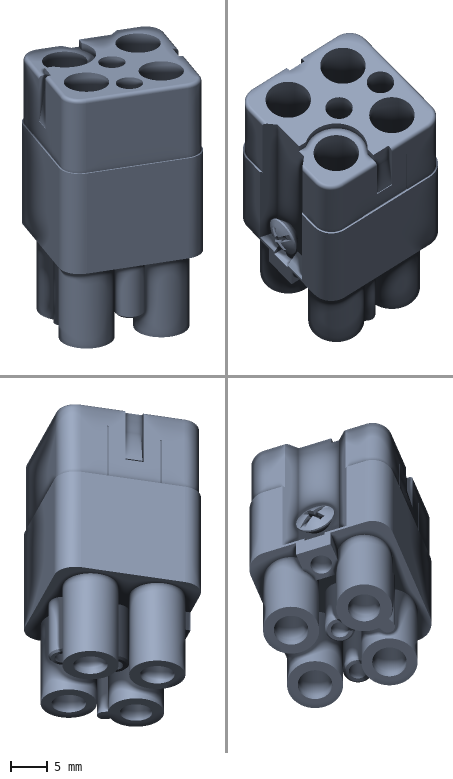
import cadquery as cq
import math


TOTAL_HEIGHT = 39.0
BODY_BOTTOM_Z = 12.5
SHOULDER_Z = 27.85
LOWER_SIZE = 21.0
SHOULDER_WIDTH = 0.24
UPPER_SIZE = LOWER_SIZE - 2 * SHOULDER_WIDTH
LOWER_CORNER_RADIUS = 3.0
UPPER_CORNER_RADIUS = LOWER_CORNER_RADIUS - SHOULDER_WIDTH
TOP_EDGE_RADIUS = 0.55
HALF_LOWER = LOWER_SIZE / 2
HALF_UPPER = UPPER_SIZE / 2
CLEARANCE = 1.0

EARTH_CONTACT = (-4.9, -5.3)
POWER_CONTACTS = [EARTH_CONTACT, (-4.9, 5.5), (4.75, 5.5), (4.75, -5.5)]
POWER_POST_RADIUS = 3.9
POWER_CAVITY_RADIUS = 3.15
POWER_BORE_RADIUS = 2.4
EARTH_BORE_RADIUS = 2.25

SIGNAL_CONTACTS = [(-0.25, 0.0), (7.05, 0.0)]
SIGNAL_POST_RADIUS = 2.1
SIGNAL_POST_BOTTOM_Z = 3.85
SIGNAL_POST_CHAMFER = 0.3
SIGNAL_CAVITY_RADIUS = 1.9
SIGNAL_BORE_RADIUS = 1.25

KEY_LENGTH = 4.5
KEY_RADIUS = 1.0
KEY_ANGLE = -26.5

EARTH_STEP_DEPTH = 1.1
EARTH_STEP_RADIUS = 4.35
EARTH_STEP_EDGE_X = -1.6
EARTH_STEP_EDGE_Y = -1.85

NOTCH_X = (EARTH_STEP_EDGE_X, 1.05)
NOTCH_DEPTH = 0.85
NOTCH_BOTTOM_Z = 31.0
RAMP_TOP_Z = 35.9
RAMP_SIDE_GAP = 0.2
RAMP_BOTTOM_GAP = 0.15
TONGUE_X = (-4.12, 3.67)
SLIT_TOP_MARGIN = 3.0
SLIT_DEPTH = 0.2
LEFT_SLIT_WIDTH = 0.08
RIGHT_SLIT_WIDTH = 0.2
END_SLIT_WIDTH = 0.1

GROOVE_DEPTH = 1.75
GROOVE_FLOOR_X = -HALF_LOWER + GROOVE_DEPTH
GROOVE_FLOOR_HALF_WIDTH = 2.97
GROOVE_FLOOR_BOTTOM_Z = 14.75

TAB_Y = (-2.4, 2.7)
TAB_END_X = -5.5
TAB_BOTTOM_Z = 9.6
RECESS_RADIUS = 1.5
RECESS_AXIS_X = -7.75

SCREW_Z = 17.73
HEAD_RADIUS = 2.8
HEAD_TIP_X = -11.13
DOME_EDGE_X = -10.25
RIM_EDGE_X = -10.0
SHANK_RADIUS = HEAD_RADIUS - (GROOVE_FLOOR_X - RIM_EDGE_X)
SHANK_EMBED = 0.5
SHANK_END_X = GROOVE_FLOOR_X + SHANK_EMBED
DRIVE_ANGLE = 45.0
SLOT_WIDTH = 0.85
SLOT_FLOOR_X = -10.35
CROSS_FLOOR_X = -9.7
CROSS_LENGTHS = (2.6, 3.6)


def box(x, y, z):
    """Axis-aligned box from its (low, high) limits."""
    size = [high - low for low, high in (x, y, z)]
    return cq.Workplane("XY").box(*size, centered=False).translate((x[0], y[0], z[0]))


def cylinder(centre, radius, bottom_z, top_z):
    """Vertical cylinder between two heights."""
    return (
        cq.Workplane("XY", origin=(centre[0], centre[1], bottom_z))
        .circle(radius)
        .extrude(top_z - bottom_z)
    )


def rounded_block(size, corner_radius, bottom_z, top_z):
    return (
        cq.Workplane("XY", origin=(0, 0, bottom_z))
        .rect(size, size)
        .extrude(top_z - bottom_z)
        .edges("|Z")
        .fillet(corner_radius)
    )


def upper_block(top_z):
    """Upper part of the body with a rounded top edge, ending at the given height."""
    block = rounded_block(UPPER_SIZE, UPPER_CORNER_RADIUS, SHOULDER_Z, top_z)
    return block.faces(">Z").edges().fillet(TOP_EDGE_RADIUS)


def stepped_body():
    """Lower and upper blocks, with the top sunk around the earth contact."""
    step_z = TOTAL_HEIGHT - EARTH_STEP_DEPTH
    outside = -HALF_LOWER - CLEARANCE
    height = (SHOULDER_Z, TOTAL_HEIGHT)
    earth_x, earth_y = EARTH_CONTACT
    earth_zone = (
        cylinder(EARTH_CONTACT, EARTH_STEP_RADIUS, *height)
        .union(box((outside, EARTH_STEP_EDGE_X), (outside, earth_y), height))
        .union(box((outside, earth_x), (outside, EARTH_STEP_EDGE_Y), height))
    )
    high_part = upper_block(TOTAL_HEIGHT).cut(earth_zone)
    sunken_part = upper_block(step_z).intersect(earth_zone)
    lower = rounded_block(LOWER_SIZE, LOWER_CORNER_RADIUS, BODY_BOTTOM_Z, SHOULDER_Z)
    return lower.union(high_part).union(sunken_part)


def both_sides(solid):
    """A feature of the -Y side together with its mirror on the +Y side."""
    return solid.union(solid.mirror("XZ"))


def latch_notches():
    """Notch open at the top, around a ramp that rises from its back to the side face."""
    back_y = -HALF_UPPER + NOTCH_DEPTH
    notch = box(NOTCH_X, (-HALF_UPPER - CLEARANCE, back_y), (NOTCH_BOTTOM_Z, TOTAL_HEIGHT))
    ramp_start_x = NOTCH_X[0] + RAMP_SIDE_GAP
    ramp_bottom_z = NOTCH_BOTTOM_Z + RAMP_BOTTOM_GAP
    ramp = (
        cq.Workplane("YZ", origin=(ramp_start_x, 0, 0))
        .polyline(
            [
                (back_y, RAMP_TOP_Z),
                (-HALF_UPPER, ramp_bottom_z),
                (back_y, ramp_bottom_z),
            ]
        )
        .close()
        .extrude(NOTCH_X[1] - ramp_start_x)
    )
    return both_sides(notch.cut(ramp))


def tongue_slits():
    """Narrow slits that free the two sides and the lower end of each sprung tongue."""
    slit_y = (-HALF_UPPER - CLEARANCE, -HALF_UPPER + SLIT_DEPTH)
    right_top_z = TOTAL_HEIGHT - SLIT_TOP_MARGIN
    left_top_z = right_top_z - EARTH_STEP_DEPTH
    left_x, right_x = TONGUE_X
    left_slit = box((left_x, left_x + LEFT_SLIT_WIDTH), slit_y, (SHOULDER_Z, left_top_z))
    right_slit = box((right_x - RIGHT_SLIT_WIDTH, right_x), slit_y, (SHOULDER_Z, right_top_z))
    end_slit = box(TONGUE_X, slit_y, (SHOULDER_Z, SHOULDER_Z + END_SLIT_WIDTH))
    return both_sides(left_slit.union(right_slit).union(end_slit))


def screw_groove():
    """Vertical groove open at the top; both sides and the lower end slope at 45 degrees."""
    reach = GROOVE_DEPTH + CLEARANCE
    outer_half_width = GROOVE_FLOOR_HALF_WIDTH + reach
    outer_x = GROOVE_FLOOR_X - reach
    groove = (
        cq.Workplane("XY")
        .polyline(
            [
                (GROOVE_FLOOR_X, -GROOVE_FLOOR_HALF_WIDTH),
                (GROOVE_FLOOR_X, GROOVE_FLOOR_HALF_WIDTH),
                (outer_x, outer_half_width),
                (outer_x, -outer_half_width),
            ]
        )
        .close()
        .extrude(TOTAL_HEIGHT)
    )
    end_limit = (
        cq.Workplane("XZ", origin=(0, outer_half_width, 0))
        .polyline(
            [
                (GROOVE_FLOOR_X, TOTAL_HEIGHT),
                (GROOVE_FLOOR_X, GROOVE_FLOOR_BOTTOM_Z),
                (outer_x, GROOVE_FLOOR_BOTTOM_Z - reach),
                (outer_x, TOTAL_HEIGHT),
            ]
        )
        .close()
        .extrude(2 * outer_half_width)
    )
    return groove.intersect(end_limit)


def tab():
    return box((-HALF_LOWER, TAB_END_X), TAB_Y, (TAB_BOTTOM_Z, BODY_BOTTOM_Z))


def tab_recess():
    """Slot from the -X side down to the tab top, ending in a round hole through the tab."""
    slot = box(
        (-HALF_LOWER - CLEARANCE, RECESS_AXIS_X),
        (-RECESS_RADIUS, RECESS_RADIUS),
        (BODY_BOTTOM_Z, GROOVE_FLOOR_BOTTOM_Z),
    )
    hole = cylinder((RECESS_AXIS_X, 0), RECESS_RADIUS, TAB_BOTTOM_Z, GROOVE_FLOOR_BOTTOM_Z)
    return slot.union(hole)


def power_posts():
    posts = earth_key()
    for centre in POWER_CONTACTS:
        posts = posts.union(cylinder(centre, POWER_POST_RADIUS, 0, BODY_BOTTOM_Z))
    return posts


def earth_key():
    bar = cq.Workplane("XY").rect(KEY_LENGTH, 2 * KEY_RADIUS).extrude(BODY_BOTTOM_Z)
    bar = bar.translate((KEY_LENGTH / 2, 0, 0))
    key = bar.union(cylinder((KEY_LENGTH, 0), KEY_RADIUS, 0, BODY_BOTTOM_Z))
    return key.rotate((0, 0, 0), (0, 0, 1), KEY_ANGLE).translate((*EARTH_CONTACT, 0))


def signal_posts():
    posts = cq.Workplane("XY")
    for centre in SIGNAL_CONTACTS:
        post = cylinder(centre, SIGNAL_POST_RADIUS, SIGNAL_POST_BOTTOM_Z, BODY_BOTTOM_Z)
        posts = posts.add(post.faces("<Z").chamfer(SIGNAL_POST_CHAMFER))
    return posts.combine()


def power_hole(centre):
    """Wide cavity through the body and a narrower bore through the post."""
    bore_radius = EARTH_BORE_RADIUS if centre == EARTH_CONTACT else POWER_BORE_RADIUS
    cavity = cylinder(centre, POWER_CAVITY_RADIUS, BODY_BOTTOM_Z, TOTAL_HEIGHT)
    return cavity.union(cylinder(centre, bore_radius, 0, BODY_BOTTOM_Z))


def signal_hole(centre):
    """Cavity through the body that tapers at 45 degrees to the bore through the post."""
    taper_height = SIGNAL_CAVITY_RADIUS - SIGNAL_BORE_RADIUS
    profile = (
        cq.Workplane("XZ")
        .polyline(
            [
                (0, 0),
                (SIGNAL_BORE_RADIUS, 0),
                (SIGNAL_BORE_RADIUS, BODY_BOTTOM_Z),
                (SIGNAL_CAVITY_RADIUS, BODY_BOTTOM_Z + taper_height),
                (SIGNAL_CAVITY_RADIUS, TOTAL_HEIGHT),
                (0, TOTAL_HEIGHT),
            ]
        )
        .close()
    )
    return profile.revolve(360, (0, 0, 0), (0, 1, 0)).translate((*centre, 0))


def drive_bar(length, width, floor_x):
    """Bar across the screw axis, turned to the drive angle and cutting in from -X to floor_x."""
    depth = floor_x - HEAD_TIP_X + CLEARANCE
    bar = (
        cq.Workplane("YZ", origin=(HEAD_TIP_X - CLEARANCE, 0, SCREW_Z))
        .rect(width, length)
        .extrude(depth)
    )
    return bar.rotate((0, 0, SCREW_Z), (1, 0, SCREW_Z), DRIVE_ANGLE)


def screw_head():
    """Domed countersunk head with a slot and a cross recess."""
    dome_height = DOME_EDGE_X - HEAD_TIP_X
    dome_radius = (HEAD_RADIUS**2 + dome_height**2) / (2 * dome_height)
    mid_angle = math.asin(HEAD_RADIUS / dome_radius) / 2
    dome_mid = (
        HEAD_TIP_X + dome_radius * (1 - math.cos(mid_angle)),
        dome_radius * math.sin(mid_angle),
    )
    head = (
        cq.Workplane("XY")
        .moveTo(HEAD_TIP_X, 0)
        .threePointArc(dome_mid, (DOME_EDGE_X, HEAD_RADIUS))
        .lineTo(RIM_EDGE_X, HEAD_RADIUS)
        .lineTo(GROOVE_FLOOR_X, SHANK_RADIUS)
        .lineTo(SHANK_END_X, SHANK_RADIUS)
        .lineTo(SHANK_END_X, 0)
        .close()
        .revolve(360, (0, 0, 0), (1, 0, 0))
        .translate((0, 0, SCREW_Z))
    )
    along, across = CROSS_LENGTHS
    return (
        head.cut(drive_bar(2 * HEAD_RADIUS, SLOT_WIDTH, SLOT_FLOOR_X))
        .cut(drive_bar(along, SLOT_WIDTH, CROSS_FLOOR_X))
        .cut(drive_bar(SLOT_WIDTH, across, CROSS_FLOOR_X))
    )


def build():
    part = stepped_body().union(power_posts()).union(signal_posts()).union(tab())
    for cutter in (latch_notches(), tongue_slits(), screw_groove(), tab_recess()):
        part = part.cut(cutter)
    for centre in POWER_CONTACTS:
        part = part.cut(power_hole(centre))
    for centre in SIGNAL_CONTACTS:
        part = part.cut(signal_hole(centre))
    return part.union(screw_head())


result = build()